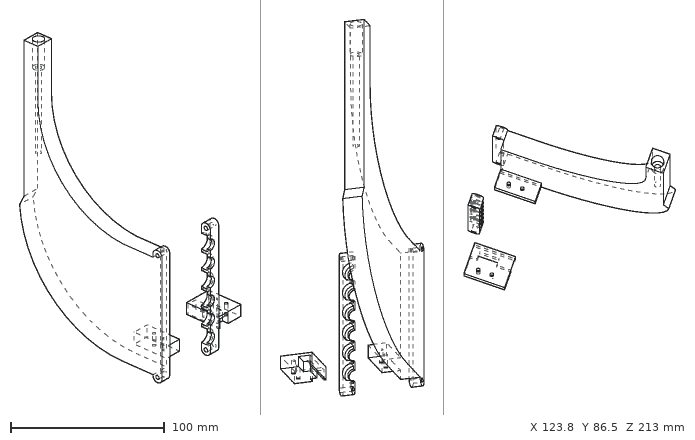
import cadquery as cq
import math

TOTAL_WIDTH = 123.8
TOTAL_HEIGHT = 213.0

HOUSING_DEPTH = 13.5
HANDLE_LEFT = 3.8
HANDLE_RIGHT = 16.0
HANDLE_FOOT_Z = 95.6
SHOULDER_Z = 88.0
BEND_CENTER_Z = 94.1
BEND_RADIUS = 89.7
THROAT_RADIUS = 79.5
THROAT_START_Z = 172.3
MOUTH_TOP_Z = 92.9

HANDLE_BORE_Y = 7.5
HANDLE_BORE_DIAMETER = 8.0
HANDLE_BORE_DEPTH = 21.3
HANDLE_PILOT_DIAMETER = 4.0
HANDLE_PILOT_DEPTH = 85.2

STRIP_WIDTH = 7.9
STRIP_DEPTH = 7.7
LUG_RADIUS = STRIP_WIDTH / 2
LUG_X = TOTAL_WIDTH - LUG_RADIUS
LOWER_LUG_Z = LUG_RADIUS
UPPER_LUG_Z = 95.5
HOUSING_SCREW_DIAMETER = 2.8
RACK_SCREW_DIAMETER = 3.0
STRIP_LEFT = TOTAL_WIDTH - STRIP_WIDTH

RACK_FRONT = 47.5
RACK_DEPTH = 8.3
NOTCH_COUNT = 6
NOTCH_PITCH = 14.0
FIRST_NOTCH_Z = 14.0
NOTCH_RADIUS = 4.0
RECESS_RADIUS = 6.0
RECESS_WIDTH = 5.1

TAB_WIDTH = 28.1
TAB_LEFT = STRIP_LEFT - TAB_WIDTH
TAB_BOTTOM = 10.9
TAB_HEIGHT = 9.0
TAB_LENGTH = 12.8
PAIR_HOLE_DIAMETER = 2.3

PAIR_LEFT_X = 98.5
PAIR_SPACING = 9.4
PAIR_EDGE_DISTANCE = 5.3

CLIP_FRONT = 64.8
CLIP_LENGTH = 21.7
CLIP_LIP = 1.3
CLIP_ROOF = 2.0
CHANNEL_LENGTH = 7.9
CHANNEL_OPENING = 3.2
RIB_LEFT = 97.5
RIB_WIDTH = 13.5
SLIT_Y = 72.5
SLIT_LENGTH = 0.1
SLIT_DEPTH = 0.2


def box(x, y, z, width, depth, height):
    """Box given by its lowest corner and its sizes."""
    return cq.Workplane("XY").box(width, depth, height, centered=False).translate((x, y, z))


def rod_along_y(x, z, radius, front, depth):
    """Cylinder parallel to Y that starts at Y = front."""
    return cq.Workplane("XZ", origin=(x, front, z)).circle(radius).extrude(-depth)


def rod_along_x(y, z, radius, left, width):
    """Cylinder parallel to X that starts at X = left."""
    return cq.Workplane("YZ", origin=(left, y, z)).circle(radius).extrude(width)


def lugged_strip(front, depth, screw_diameter):
    """Upright strip with rounded ends and a screw hole in each end."""
    strip = box(STRIP_LEFT, front, LOWER_LUG_Z, STRIP_WIDTH, depth, UPPER_LUG_Z - LOWER_LUG_Z)
    for z in (LOWER_LUG_Z, UPPER_LUG_Z):
        strip = strip.union(rod_along_y(LUG_X, z, LUG_RADIUS, front, depth))
    for z in (LOWER_LUG_Z, UPPER_LUG_Z):
        strip = strip.cut(rod_along_y(LUG_X, z, screw_diameter / 2, front, depth))
    return strip


def vertical_hole_pair(rear):
    """Two cylinders through the tab or the clip, set in from the rear edge."""
    return (
        cq.Workplane("XY", origin=(PAIR_LEFT_X, rear - PAIR_EDGE_DISTANCE, TAB_BOTTOM))
        .pushPoints([(0, 0), (PAIR_SPACING, 0)])
        .circle(PAIR_HOLE_DIAMETER / 2)
        .extrude(TAB_HEIGHT)
    )


def make_shell():
    """Curved housing plate, extruded from Y = 0 to the rear."""
    bend_center_x = math.sqrt(BEND_RADIUS**2 - (BEND_CENTER_Z - SHOULDER_Z) ** 2)
    bend_bottom_z = BEND_CENTER_Z - BEND_RADIUS
    diagonal = math.sqrt(0.5)
    bend_middle = (bend_center_x - BEND_RADIUS * diagonal, BEND_CENTER_Z - BEND_RADIUS * diagonal)
    return (
        cq.Workplane("XZ")
        .moveTo(HANDLE_LEFT, TOTAL_HEIGHT)
        .lineTo(HANDLE_LEFT, HANDLE_FOOT_Z)
        .lineTo(0, SHOULDER_Z)
        .threePointArc(bend_middle, (bend_center_x, bend_bottom_z))
        .lineTo(STRIP_LEFT, bend_bottom_z)
        .lineTo(STRIP_LEFT, MOUTH_TOP_Z)
        .lineTo(bend_center_x, MOUTH_TOP_Z)
        .radiusArc((HANDLE_RIGHT, THROAT_START_Z), THROAT_RADIUS)
        .lineTo(HANDLE_RIGHT, TOTAL_HEIGHT)
        .close()
        .extrude(-HOUSING_DEPTH)
    )


def make_handle_bore():
    """Stepped bore down the handle from its top end."""
    top_center = ((HANDLE_LEFT + HANDLE_RIGHT) / 2, HANDLE_BORE_Y, TOTAL_HEIGHT)
    top_plane = cq.Workplane("XY", origin=top_center)
    bore = top_plane.circle(HANDLE_BORE_DIAMETER / 2).extrude(-HANDLE_BORE_DEPTH)
    pilot = top_plane.circle(HANDLE_PILOT_DIAMETER / 2).extrude(-HANDLE_PILOT_DEPTH)
    return bore.union(pilot)


def make_tab():
    """Drilled tab on the rear face of the housing."""
    rear = HOUSING_DEPTH + TAB_LENGTH
    tab = box(TAB_LEFT, HOUSING_DEPTH, TAB_BOTTOM, TAB_WIDTH, TAB_LENGTH, TAB_HEIGHT)
    return tab.cut(vertical_hole_pair(rear))


def make_housing():
    shell = make_shell().cut(make_handle_bore())
    strip = lugged_strip(0, STRIP_DEPTH, HOUSING_SCREW_DIAMETER)
    return shell.union(strip).union(make_tab())


def make_rack():
    """Clamping rack with stepped half-round notches along its front face."""
    rack = lugged_strip(RACK_FRONT, RACK_DEPTH, RACK_SCREW_DIAMETER)
    for index in range(NOTCH_COUNT):
        z = FIRST_NOTCH_Z + index * NOTCH_PITCH
        rack = rack.cut(rod_along_x(RACK_FRONT, z, NOTCH_RADIUS, STRIP_LEFT, STRIP_WIDTH))
        rack = rack.cut(rod_along_x(RACK_FRONT, z, RECESS_RADIUS, STRIP_LEFT, RECESS_WIDTH))
    return rack


def make_clip():
    """Hooked clip: a drilled block with a channel below and a rib inside the channel."""
    channel_front = CLIP_FRONT + CLIP_LIP
    channel_height = TAB_HEIGHT - CLIP_ROOF
    rib_front = channel_front + CHANNEL_OPENING
    rib_length = CHANNEL_LENGTH - CHANNEL_OPENING
    slit_bottom = TAB_BOTTOM + TAB_HEIGHT - SLIT_DEPTH

    clip = box(TAB_LEFT, CLIP_FRONT, TAB_BOTTOM, TAB_WIDTH, CLIP_LENGTH, TAB_HEIGHT)
    clip = clip.cut(box(TAB_LEFT, channel_front, TAB_BOTTOM, TAB_WIDTH, CHANNEL_LENGTH, channel_height))
    clip = clip.union(box(RIB_LEFT, rib_front, TAB_BOTTOM, RIB_WIDTH, rib_length, channel_height))
    clip = clip.cut(box(RIB_LEFT, SLIT_Y, slit_bottom, RIB_WIDTH, SLIT_LENGTH, SLIT_DEPTH))
    return clip.cut(vertical_hole_pair(CLIP_FRONT + CLIP_LENGTH))


housing = make_housing()
rack = make_rack()
clip = make_clip()

result = cq.Compound.makeCompound([housing.val(), rack.val(), clip.val()])